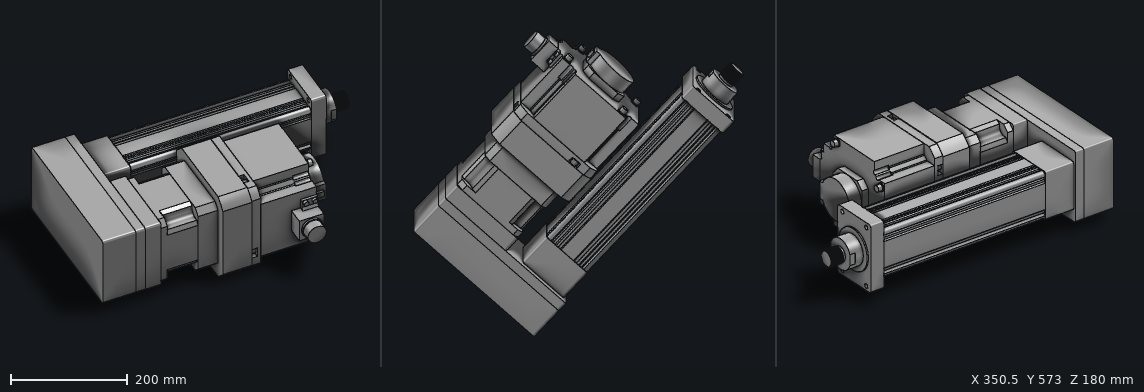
import cadquery as cq
import math


CASE_TOP = 63.0
PLATE_TOP = 81.0
REAR_BLOCK_TOP = 141.0
TUBE_TOP = 485.0
NOSE_FLANGE_TOP = 513.0
PILOT_TOP = 515.5
COLLAR_TOP = 542.5
ROD_TIP = 573.0
GEAR_FOOT_TOP = 110.5
SCALLOP_BOTTOM = 122.5
SCALLOP_TOP = 181.0
GEAR_CASE_TOP = 219.0
ADAPTER_TOP = 274.5
MOTOR_FLANGE_TOP = 291.5
MOTOR_TOP = 397.5
ENCODER_BASE_TOP = 411.5
ENCODER_TOP = 437.0

GEAR_SIZE = 141.5
ACTUATOR_WIDTH = 95.0
CORNER_RADIUS = 5.0
MOTOR_X = 156.5
CASE_MARGIN = 53.0
CASE_WIDTH = 279.5
CASE_HEIGHT = 140.0
CASE_X = CASE_WIDTH / 2 - CASE_MARGIN

TUBE_WIDTH = 94.0
TUBE_RADIUS = 10.0
SLOT_NEAR = 26.0
SLOT_STEP = 32.5
SLOT_FAR = 35.0
SLOT_LIP = 38.0
SLOT_DEPTH = 2.5
SLOT_DEEP = 5.0
RECESS_NEAR = 14.5
RECESS_FAR = 21.0
RECESS_DEPTH = 2.0
NOSE_HEIGHT = 133.5
NOSE_HOLE_DIAMETER = 8.5
NOSE_HOLE_X = 34.5
NOSE_HOLE_Z = 57.5
PILOT_DIAMETER = 81.5

COLLAR_DIAMETER = 59.5
FLATS_WIDTH = 55.5
FLATS_BOTTOM = 532.0
THREAD_DIAMETER = 31.5
THREAD_DEPTH = 1.0
THREAD_PITCH = 2.0
THREAD_COUNT = 13

GEAR_FOOT_SIZE = 141.0
GEAR_CORNER = 11.5
ADAPTER_SIZE = 180.0
ADAPTER_CORNER_DIAMETER = 229.0
SCALLOP_CASE_SIZE = 140.5
SCALLOP_RADIUS = 12.5
SCALLOP_CENTRE = 59.5
SCALLOP_LEDGE = 65.5
SCALLOP_EDGE = 39.0

MOTOR_SIZE = 176.5
MOTOR_FLANGE_SIZE = 177.5
NOTCH_INNER = 58.5
NOTCH_CORNER = 10.0
NOTCH_BEVEL_RUN = 1.0
NOTCH_BEVEL_DROP = 2.5
RELIEF_FAR = 67.5
RELIEF_NEAR = 60.0
RELIEF_DIAMETER = 8.0
REAR_ZONE_LENGTH = 30.5
BOLT_SIDE = 47.5
BOLT_OUT = 78.5
BOLT_DIAMETER = 12.5
BOLT_HEIGHT = 10.5
WASHER_DIAMETER = 16.0
WASHER_HEIGHT = 2.0
POCKET_SIDE = 46.5
POCKET_WIDTH = 19.0
POCKET_LENGTH = 10.5
POCKET_DEPTH = 14.0

ENCODER_BASE_SIZE = 82.5
ENCODER_BASE_CHAMFER = 14.0
ENCODER_DIAMETER = 81.5
ENCODER_PAD_REACH = 45.0
ENCODER_PAD_WIDTH = 34.5
ENCODER_PLUG_REACH = 50.5
ENCODER_PLUG_WIDTH = 11.5
ENCODER_PLUG_LENGTH = 14.0

CONNECTOR_Y = 373.5
CONNECTOR_WIDTH = 44.0
CONNECTOR_LENGTH = 47.0
GUSSET_SIZE = 4.5
CONNECTOR_REACH = 119.0
CONNECTOR_COLLAR_REACH = 123.0
CONNECTOR_COLLAR_DIAMETER = 39.0
PLUG_REACH = 141.0
PLUG_DIAMETER = 35.5
CONNECTOR_PLATE_WIDTH = 82.0
CONNECTOR_PLATE_THICKNESS = 5.0
CONNECTOR_SCREW_DIAMETER = 9.0
CONNECTOR_SCREW_REACH = 99.0
CONNECTOR_SCREW_Z = 36.0
CONNECTOR_SCREW_SPACING = 17.0


def sketch_at(y, x=0.0):
    """Sketch plane across the Y axis; its local axes are X and -Z."""
    return cq.Workplane("XZ", origin=(x, y, 0)).transformed(rotate=(180, 0, 0))


def block(y0, y1, width, height, x=0.0):
    return sketch_at(y0, x).rect(width, height).extrude(y1 - y0)


def rounded_block(y0, y1, width, height, x=0.0):
    return block(y0, y1, width, height, x).edges("|Y").fillet(CORNER_RADIUS)


def disc(y0, y1, diameter, x=0.0):
    return sketch_at(y0, x).circle(diameter / 2).extrude(y1 - y0)


def cross_bar(x0, x1, y, diameter, z=0.0):
    """Round bar parallel to X, starting and ending at distances from the motor axis."""
    plane = cq.Workplane("YZ", origin=(MOTOR_X + x0, y, z))
    return plane.circle(diameter / 2).extrude(x1 - x0)


def side_box(x0, x1, y0, y1, depth):
    """Box on the +X side, between two distances from the motor axis."""
    box = cq.Workplane("XY").box(x1 - x0, y1 - y0, depth, centered=(False, False, True))
    return box.translate((MOTOR_X + x0, y0, 0))


def around_motor(shape, turn):
    """Turn a shape about the motor axis by a number of quarter turns."""
    return shape.rotate((MOTOR_X, 0, 0), (MOTOR_X, 1, 0), 90 * turn)


def make_case():
    return rounded_block(0, CASE_TOP, CASE_WIDTH, CASE_HEIGHT, CASE_X)


def make_plate():
    return rounded_block(CASE_TOP, PLATE_TOP, CASE_WIDTH, CASE_HEIGHT, CASE_X)


def tube_groove(points, side):
    """Groove along the tube; each point is (offset along the face, depth below it)."""
    half = TUBE_WIDTH / 2
    outline = [(side * offset, depth - half) for offset, depth in points]
    length = TUBE_TOP - REAR_BLOCK_TOP
    return sketch_at(REAR_BLOCK_TOP).polyline(outline).close().extrude(length)


def make_tube():
    tube = block(REAR_BLOCK_TOP, TUBE_TOP, TUBE_WIDTH, TUBE_WIDTH)
    tube = tube.edges("|Y").fillet(TUBE_RADIUS)
    slot = [
        (SLOT_NEAR, 0),
        (SLOT_NEAR + SLOT_DEPTH, SLOT_DEPTH),
        (SLOT_STEP, SLOT_DEPTH),
        (SLOT_FAR, SLOT_DEEP),
        (SLOT_LIP, 0),
    ]
    recess = [
        (RECESS_NEAR, 0),
        (RECESS_NEAR + RECESS_DEPTH, RECESS_DEPTH),
        (RECESS_FAR, RECESS_DEPTH),
        (RECESS_FAR, 0),
    ]
    for side in (-1, 1):
        for turn in range(4):
            tube = tube.cut(tube_groove(slot, side).rotate((0, 0, 0), (0, 1, 0), 90 * turn))
        for turn in (0, 2):
            tube = tube.cut(tube_groove(recess, side).rotate((0, 0, 0), (0, 1, 0), 90 * turn))
    return tube


def make_nose_flange():
    flange = rounded_block(TUBE_TOP, NOSE_FLANGE_TOP, ACTUATOR_WIDTH, NOSE_HEIGHT)
    holes = (
        sketch_at(TUBE_TOP)
        .rect(2 * NOSE_HOLE_X, 2 * NOSE_HOLE_Z, forConstruction=True)
        .vertices()
        .circle(NOSE_HOLE_DIAMETER / 2)
        .extrude(NOSE_FLANGE_TOP - TUBE_TOP)
    )
    return flange.cut(holes)


def make_actuator():
    rear_block = rounded_block(PLATE_TOP, REAR_BLOCK_TOP, ACTUATOR_WIDTH, ACTUATOR_WIDTH)
    pilot = disc(NOSE_FLANGE_TOP, PILOT_TOP, PILOT_DIAMETER)
    return rear_block.union(make_tube()).union(make_nose_flange()).union(pilot)


def make_rod():
    """Round collar with two wrench flats and a threaded tip made of plain ridges."""
    collar = disc(PILOT_TOP, COLLAR_TOP, COLLAR_DIAMETER)
    beyond_flats = block(FLATS_BOTTOM, COLLAR_TOP, 2 * COLLAR_DIAMETER, 2 * COLLAR_DIAMETER)
    beyond_flats = beyond_flats.cut(block(FLATS_BOTTOM, COLLAR_TOP, FLATS_WIDTH, 3 * COLLAR_DIAMETER))
    crest = THREAD_DIAMETER / 2
    root = crest - THREAD_DEPTH
    thread_start = ROD_TIP - THREAD_COUNT * THREAD_PITCH
    profile = [(0, COLLAR_TOP), (root, COLLAR_TOP), (root, thread_start)]
    for turn in range(THREAD_COUNT):
        ridge_start = thread_start + turn * THREAD_PITCH
        profile.append((crest, ridge_start + THREAD_PITCH / 4))
        profile.append((crest, ridge_start + THREAD_PITCH / 2))
        profile.append((root, ridge_start + THREAD_PITCH * 3 / 4))
        profile.append((root, ridge_start + THREAD_PITCH))
    profile.append((0, ROD_TIP))
    thread = cq.Workplane("XY").polyline(profile).close().revolve(360, (0, 0, 0), (0, 1, 0))
    return collar.cut(beyond_flats).union(thread)


def make_scallop():
    """Notch of one gearbox corner: sloped edges, two ledges and a hollow between them."""
    half = SCALLOP_CASE_SIZE / 2
    ledge_end = SCALLOP_CENTRE - SCALLOP_RADIUS
    hollow = SCALLOP_CENTRE - SCALLOP_RADIUS * math.sqrt(0.5)
    return (
        sketch_at(SCALLOP_BOTTOM, MOTOR_X)
        .moveTo(SCALLOP_EDGE, half)
        .lineTo(ledge_end, SCALLOP_LEDGE)
        .lineTo(ledge_end, SCALLOP_CENTRE)
        .threePointArc((hollow, hollow), (SCALLOP_CENTRE, ledge_end))
        .lineTo(SCALLOP_LEDGE, ledge_end)
        .lineTo(half, SCALLOP_EDGE)
        .lineTo(half, half)
        .close()
        .extrude(SCALLOP_TOP - SCALLOP_BOTTOM)
    )


def gear_section(y0, y1, size):
    return block(y0, y1, size, size, MOTOR_X).edges("|Y").chamfer(GEAR_CORNER)


def make_gearbox():
    foot = rounded_block(PLATE_TOP, GEAR_FOOT_TOP, GEAR_FOOT_SIZE, GEAR_FOOT_SIZE, MOTOR_X)
    scalloped = gear_section(GEAR_FOOT_TOP, SCALLOP_TOP, SCALLOP_CASE_SIZE)
    for turn in range(4):
        scalloped = scalloped.cut(around_motor(make_scallop(), turn))
    head = gear_section(SCALLOP_TOP, GEAR_CASE_TOP, GEAR_SIZE)
    adapter = block(GEAR_CASE_TOP, ADAPTER_TOP, ADAPTER_SIZE, ADAPTER_SIZE, MOTOR_X)
    adapter = adapter.intersect(disc(GEAR_CASE_TOP, ADAPTER_TOP, ADAPTER_CORNER_DIAMETER, MOTOR_X))
    return foot.union(scalloped).union(head).union(adapter)


def make_motor_flange():
    """Front flange with a pocket in each side, open towards the adapter, where a tie bolt shows."""
    flange = block(ADAPTER_TOP, MOTOR_FLANGE_TOP, MOTOR_FLANGE_SIZE, MOTOR_FLANGE_SIZE, MOTOR_X)
    flange = flange.intersect(disc(ADAPTER_TOP, MOTOR_FLANGE_TOP, ADAPTER_CORNER_DIAMETER, MOTOR_X))
    pocket = cq.Workplane("XY").box(POCKET_WIDTH, POCKET_LENGTH, POCKET_DEPTH, centered=(True, False, False))
    pocket = pocket.translate((MOTOR_X + POCKET_SIDE, ADAPTER_TOP, MOTOR_FLANGE_SIZE / 2 - POCKET_DEPTH))
    tie_bolt = disc(ADAPTER_TOP, ADAPTER_TOP + POCKET_LENGTH, BOLT_DIAMETER, MOTOR_X)
    tie_bolt = tie_bolt.translate((BOLT_SIDE, 0, BOLT_OUT))
    for turn in range(4):
        flange = flange.cut(around_motor(pocket, turn))
        flange = flange.union(around_motor(tie_bolt, turn))
    return flange


def make_motor_body():
    """Square body with notched corners; two round grooves run along each notch near the rear end."""
    body = block(MOTOR_FLANGE_TOP, MOTOR_TOP, MOTOR_SIZE, MOTOR_SIZE, MOTOR_X)
    half = MOTOR_SIZE / 2
    notch_end = NOTCH_INNER + NOTCH_CORNER
    notch_outline = [
        (NOTCH_INNER, half),
        (NOTCH_INNER, notch_end),
        (NOTCH_INNER + NOTCH_BEVEL_RUN, notch_end - NOTCH_BEVEL_DROP),
        (notch_end - NOTCH_BEVEL_DROP, NOTCH_INNER + NOTCH_BEVEL_RUN),
        (notch_end, NOTCH_INNER),
        (half, NOTCH_INNER),
        (half, half),
    ]
    notch = sketch_at(MOTOR_FLANGE_TOP, MOTOR_X).polyline(notch_outline).close()
    notch = notch.extrude(MOTOR_TOP - MOTOR_FLANGE_TOP)
    relief = disc(MOTOR_TOP - REAR_ZONE_LENGTH, MOTOR_TOP, RELIEF_DIAMETER, MOTOR_X)
    cutter = notch
    for across, down in ((RELIEF_FAR, RELIEF_NEAR), (RELIEF_NEAR, RELIEF_FAR)):
        cutter = cutter.union(relief.translate((across, 0, -down)))
    for turn in range(4):
        body = body.cut(around_motor(cutter, turn))
    return body


def make_bolt():
    washer = disc(MOTOR_TOP, MOTOR_TOP + WASHER_HEIGHT, WASHER_DIAMETER, MOTOR_X)
    head = disc(MOTOR_TOP, MOTOR_TOP + BOLT_HEIGHT, BOLT_DIAMETER, MOTOR_X)
    return washer.union(head).translate((BOLT_SIDE, 0, BOLT_OUT))


def make_encoder():
    base = block(MOTOR_TOP, ENCODER_BASE_TOP, ENCODER_BASE_SIZE, ENCODER_BASE_SIZE, MOTOR_X)
    base = base.edges("|Y").chamfer(ENCODER_BASE_CHAMFER)
    cap = disc(ENCODER_BASE_TOP, ENCODER_TOP, ENCODER_DIAMETER, MOTOR_X)
    pad = side_box(0, ENCODER_PAD_REACH, ENCODER_BASE_TOP, ENCODER_TOP, ENCODER_PAD_WIDTH)
    plug_start = (ENCODER_BASE_TOP + ENCODER_TOP - ENCODER_PLUG_LENGTH) / 2
    plug_end = plug_start + ENCODER_PLUG_LENGTH
    plug = side_box(0, ENCODER_PLUG_REACH, plug_start, plug_end, ENCODER_PLUG_WIDTH)
    return base.union(cap).union(pad).union(plug)


def make_connector():
    root = MOTOR_SIZE / 2
    plate_start = MOTOR_TOP - REAR_ZONE_LENGTH
    plate_reach = root + CONNECTOR_PLATE_THICKNESS
    connector = side_box(root, plate_reach, plate_start, MOTOR_TOP, CONNECTOR_PLATE_WIDTH)
    gusset_width = CONNECTOR_WIDTH + 2 * GUSSET_SIZE
    gusset = side_box(root, plate_reach + GUSSET_SIZE, plate_start, MOTOR_TOP, gusset_width)
    connector = connector.union(gusset.edges("|Y and >X").chamfer(GUSSET_SIZE))
    shell_start = CONNECTOR_Y - CONNECTOR_LENGTH / 2
    shell_end = CONNECTOR_Y + CONNECTOR_LENGTH / 2
    connector = connector.union(side_box(root, CONNECTOR_REACH, shell_start, shell_end, CONNECTOR_WIDTH))
    collar = cross_bar(root, CONNECTOR_COLLAR_REACH, CONNECTOR_Y, CONNECTOR_COLLAR_DIAMETER)
    connector = connector.union(collar)
    connector = connector.union(cross_bar(root, PLUG_REACH, CONNECTOR_Y, PLUG_DIAMETER))
    plate_y = (plate_start + MOTOR_TOP) / 2
    for side in (-1, 1):
        for end in (-1, 1):
            screw_y = plate_y + end * CONNECTOR_SCREW_SPACING / 2
            screw_z = side * CONNECTOR_SCREW_Z
            screw = cross_bar(root, CONNECTOR_SCREW_REACH, screw_y, CONNECTOR_SCREW_DIAMETER, screw_z)
            connector = connector.union(screw)
    return connector


def make_motor():
    motor = make_motor_flange().union(make_motor_body())
    for turn in range(4):
        motor = motor.union(around_motor(make_bolt(), turn))
    return motor.union(make_encoder()).union(make_connector())


case = make_case()
plate = make_plate()
actuator = make_actuator()
rod = make_rod()
gearbox = make_gearbox()
motor = make_motor()

result = cq.Compound.makeCompound([
    case.val(),
    plate.val(),
    actuator.val(),
    rod.val(),
    gearbox.val(),
    motor.val(),
])